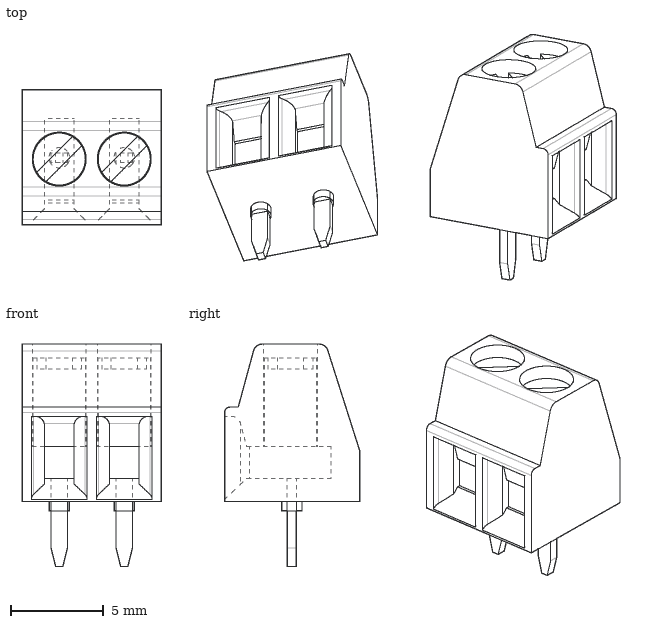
import cadquery as cq
import math


width = 7.5
depth = 7.3
overall_height = 12.0
height = 8.5
lip_height = 5.1
lip_depth = 0.73
top_front_y = 1.65
top_back_y = 5.46
back_wall_height = 2.72
top_round = 0.5
lip_round = 0.3

pole_count = 2
pole_pitch = 3.5
pole_x = [(i - (pole_count - 1) / 2) * pole_pitch for i in range(pole_count)]
axis_y = 3.55

entry_width = 3.0
entry_floor = 0.12
entry_ceiling = 4.6
entry_lead = 0.17
entry_side_round = 0.4
entry_ceiling_round = 0.5
ceiling_tilt = math.radians(15)
throat_width = 1.6
throat_floor = 1.25
throat_ceiling = 2.98
funnel_depth = 1.19

clamp_front_y = 1.35
clamp_length = 2 * (axis_y - clamp_front_y)
clamp_height = throat_ceiling - throat_floor

bore_diameter = 2.9
screw_diameter = 2.81
screw_recess = 0.75
screw_height = height - screw_recess - throat_ceiling
slot_width = 0.71
slot_depth = 0.6
slot_angle = 45

pin_y = 3.62
pin_width = 0.9
pin_thickness = 0.5
pin_length = overall_height - height
pin_tip_width = 0.4
pin_tip_start = 2.5
collar_diameter = 1.1
collar_height = 0.5


def make_shell():
    """Solid housing outline: a tapered tower with a lip along its front."""
    outline = [
        (0, 0),
        (depth, 0),
        (depth, back_wall_height),
        (top_back_y, height),
        (top_front_y, height),
        (lip_depth, lip_height),
        (0, lip_height),
    ]
    shell = cq.Workplane("YZ").polyline(outline).close().extrude(width / 2, both=True)
    shell = shell.faces(">Z").edges("|X").fillet(top_round)
    return shell.faces("<Y").edges("|X and >Z").fillet(lip_round)


def make_funnel():
    """Funnel void: its plan shape and its side shape intersected."""
    entry_half = entry_width / 2
    throat_half = throat_width / 2
    throat_start = entry_lead + entry_half - throat_half
    plan = [
        (-entry_half, 0),
        (-entry_half, entry_lead),
        (-throat_half, throat_start),
        (-throat_half, funnel_depth),
        (throat_half, funnel_depth),
        (throat_half, throat_start),
        (entry_half, entry_lead),
        (entry_half, 0),
    ]
    plan_body = cq.Workplane("XY").polyline(plan).close().extrude(height)
    for side in (-1, 1):
        corner = cq.NearestToPointSelector((side * entry_half, entry_lead, height / 2))
        plan_body = plan_body.edges("|Z").edges(corner).fillet(entry_side_round)

    ceiling_end = funnel_depth - (entry_ceiling - throat_ceiling) * math.tan(ceiling_tilt)
    side_view = [
        (0, entry_floor),
        (funnel_depth, throat_floor),
        (funnel_depth, throat_ceiling),
        (ceiling_end, entry_ceiling),
        (0, entry_ceiling),
    ]
    side_body = cq.Workplane("YZ").polyline(side_view).close().extrude(entry_half, both=True)
    side_body = side_body.faces(">Z").edges(">Y").fillet(entry_ceiling_round)
    return plan_body.intersect(side_body)


def make_channel():
    """Straight void that holds the clamp and joins it to the funnel."""
    length = clamp_front_y + clamp_length - funnel_depth
    channel = cq.Workplane("XY").box(throat_width, length, clamp_height, centered=(True, False, False))
    return channel.translate((0, funnel_depth, throat_floor))


def make_bore():
    """Screw bore, from the top of the housing down to the clamp."""
    bore = cq.Workplane("XY", origin=(0, axis_y, throat_ceiling))
    return bore.circle(bore_diameter / 2).extrude(height - throat_ceiling)


def make_pin_hole():
    """Rectangular hole that the pin fills, without its taper."""
    hole = cq.Workplane("XY", origin=(0, pin_y, -pin_length))
    return hole.rect(pin_width, pin_thickness).extrude(pin_length + throat_floor)


def make_housing():
    housing = make_shell()
    for x in pole_x:
        for void in (make_funnel(), make_channel(), make_bore(), make_pin_hole()):
            housing = housing.cut(void.translate((x, 0, 0)))
    return housing


def make_screw(x):
    """Slotted screw standing on the clamp, below the rim of its bore."""
    screw = cq.Workplane("XY").circle(screw_diameter / 2).extrude(screw_height)
    slot = cq.Workplane("XY", origin=(0, 0, screw_height - slot_depth))
    slot = slot.transformed(rotate=(0, 0, slot_angle)).rect(2 * screw_diameter, slot_width).extrude(slot_depth)
    return screw.cut(slot).translate((x, axis_y, throat_ceiling))


def make_clamp(x):
    clamp = cq.Workplane("XY").box(throat_width, clamp_length, clamp_height, centered=(True, True, False))
    return clamp.translate((x, axis_y, throat_floor))


def make_pin(x):
    """Flat solder pin, rising to the clamp and tapered in width at its tip."""
    outline = [
        (-pin_width / 2, throat_floor),
        (-pin_width / 2, -pin_tip_start),
        (-pin_tip_width / 2, -pin_length),
        (pin_tip_width / 2, -pin_length),
        (pin_width / 2, -pin_tip_start),
        (pin_width / 2, throat_floor),
    ]
    pin = cq.Workplane("XZ").polyline(outline).close().extrude(pin_thickness / 2, both=True)
    return pin.translate((x, pin_y, 0))


def make_collar(x):
    """Round collar around the pin, against the underside of the housing."""
    collar = cq.Workplane("XY", origin=(0, pin_y, 0)).circle(collar_diameter / 2).extrude(-collar_height)
    return collar.cut(make_pin_hole()).translate((x, 0, 0))


housing = make_housing()
screws = [make_screw(x) for x in pole_x]
clamps = [make_clamp(x) for x in pole_x]
collars = [make_collar(x) for x in pole_x]
pins = [make_pin(x) for x in pole_x]

bodies = [housing, *screws, *clamps, *collars, *pins]
result = cq.Compound.makeCompound([body.val() for body in bodies])